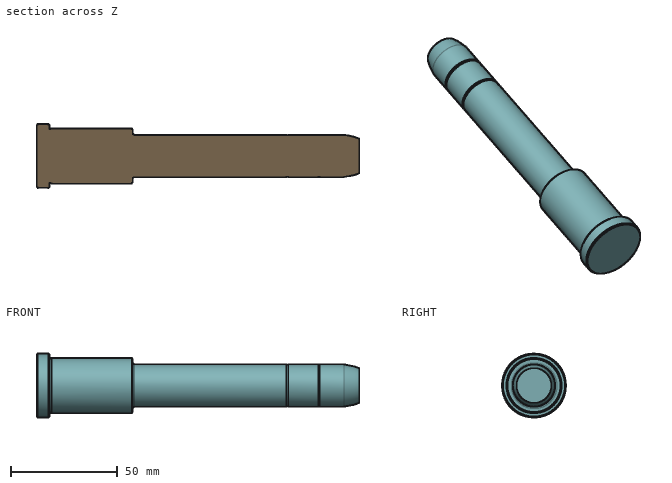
import cadquery as cq

length = 151.0
head_diameter = 30.0
body_diameter = 26.0
shaft_diameter = 20.0
tip_diameter = 16.3

head_end = 6.0
body_end = 45.0
tip_start = 143.8
groove_starts = (116.7, 131.7)

head_chamfer = 0.53
body_chamfer = 0.6
neck_width = 0.9
neck_depth = 0.5
root_fillet = 0.8
groove_width = 0.9
groove_depth = 0.2
tip_bulge = 0.3


def cylinder(start, end, diameter):
    """Cylinder on the X axis between two axial positions."""
    return cq.Workplane("YZ", origin=(start, 0, 0)).circle(diameter / 2).extrude(end - start)


def make_head():
    return cylinder(0, head_end, head_diameter).edges().chamfer(head_chamfer)


def make_body():
    """Locating body with a tapered neck under the head and a chamfered end."""
    radius = body_diameter / 2
    profile = (
        cq.Workplane("XY")
        .moveTo(head_end - head_chamfer, 0)
        .lineTo(head_end - head_chamfer, radius - neck_depth)
        .lineTo(head_end, radius - neck_depth)
        .lineTo(head_end + neck_width, radius)
        .lineTo(body_end - body_chamfer, radius)
        .lineTo(body_end, radius - body_chamfer)
        .lineTo(body_end, 0)
        .close()
    )
    return profile.revolve(360, (0, 0, 0), (1, 0, 0))


def make_shaft():
    """Shaft with a root fillet at the body and a convex tapered tip."""
    radius = shaft_diameter / 2
    tip_radius = tip_diameter / 2
    tip_middle = ((tip_start + length) / 2, (radius + tip_radius) / 2 + tip_bulge)
    fillet_middle_offset = root_fillet * (1 - 0.5 ** 0.5)
    profile = (
        cq.Workplane("XY")
        .moveTo(body_end, 0)
        .lineTo(body_end, radius + root_fillet)
        .threePointArc(
            (body_end + fillet_middle_offset, radius + fillet_middle_offset),
            (body_end + root_fillet, radius),
        )
        .lineTo(tip_start, radius)
        .threePointArc(tip_middle, (length, tip_radius))
        .lineTo(length, 0)
        .close()
    )
    return profile.revolve(360, (0, 0, 0), (1, 0, 0))


def make_groove(start):
    """Ring that cuts one shallow groove around the shaft."""
    end = start + groove_width
    core = cylinder(start, end, shaft_diameter - 2 * groove_depth)
    return cylinder(start, end, body_diameter).cut(core)


result = make_head().union(make_body()).union(make_shaft())
for groove_start in groove_starts:
    result = result.cut(make_groove(groove_start))